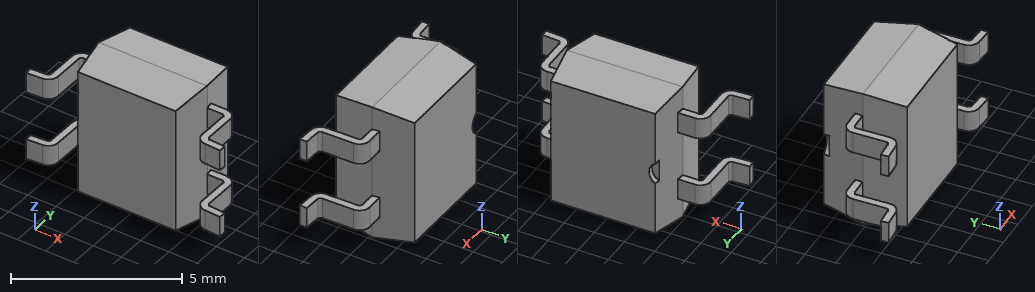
import cadquery as cq
import math

overall_length = 6.9
overall_depth = 2.9

housing_width = 3.85
housing_height = 4.7
housing_depth = 2.7
taper_inset = 0.19

notch_radius = 0.4
notch_depth = 0.19

lead_thickness = 0.25
lead_width = 0.71
lead_pitch = 2.395
foot_reach = 0.65
foot_angle = 3.5
inner_bend_radius = 0.1

half_depth = housing_depth / 2
outer_bend_radius = inner_bend_radius + lead_thickness


def make_housing_half(side):
    """Tapered block from the parting plane to the face at side * half_depth."""
    face_width = housing_width - 2 * taper_inset
    face_height = housing_height - 2 * taper_inset
    return (
        cq.Workplane("XZ")
        .rect(housing_width, housing_height)
        .workplane(offset=-side * half_depth)
        .rect(face_width, face_height)
        .loft(ruled=True)
    )


def make_housing():
    """Both tapered halves joined, with the index notch removed."""
    notch = (
        cq.Workplane("XZ", origin=(-housing_width / 2, half_depth, 0))
        .circle(notch_radius)
        .extrude(notch_depth)
    )
    return make_housing_half(-1).union(make_housing_half(1)).cut(notch)


def make_left_lead(housing):
    """Lead on the -X side centred on Z = 0, ending flush on the housing side."""
    angle = math.radians(foot_angle)
    tip_x = -overall_length / 2
    tip_bottom_x = tip_x + lead_thickness * math.sin(angle)
    tip_bottom_y = half_depth - overall_depth
    tip_top_y = tip_bottom_y + lead_thickness * math.cos(angle)
    upright_outer_x = tip_x + foot_reach
    upright_inner_x = upright_outer_x + lead_thickness
    heel_top_y = tip_top_y + foot_reach * math.tan(angle)
    heel_bottom_y = tip_bottom_y + (upright_inner_x - tip_bottom_x) * math.tan(angle)
    inside_housing_x = -(housing_width / 2 - taper_inset)

    strip = (
        cq.Workplane("XY", origin=(0, 0, -lead_width / 2))
        .moveTo(tip_x, tip_top_y)
        .lineTo(upright_outer_x, heel_top_y)
        .lineTo(upright_outer_x, lead_thickness)
        .lineTo(inside_housing_x, lead_thickness)
        .lineTo(inside_housing_x, 0)
        .lineTo(upright_inner_x, 0)
        .lineTo(upright_inner_x, heel_bottom_y)
        .lineTo(tip_bottom_x, tip_bottom_y)
        .close()
        .extrude(lead_width)
    )
    inner_corners = [(upright_outer_x, heel_top_y), (upright_inner_x, 0)]
    outer_corners = [(upright_outer_x, lead_thickness), (upright_inner_x, heel_bottom_y)]
    for corners, radius in ((inner_corners, inner_bend_radius), (outer_corners, outer_bend_radius)):
        for x, y in corners:
            strip = strip.edges(cq.NearestToPointSelector((x, y, 0))).fillet(radius)
    return strip.cut(housing)


housing = make_housing()
left_lead = make_left_lead(housing)
right_lead = left_lead.mirror("YZ")

leads = []
for lead in (left_lead, right_lead):
    for z in (-lead_pitch / 2, lead_pitch / 2):
        leads.append(lead.translate((0, 0, z)).solids().val())

result = cq.Compound.makeCompound([housing.solids().val(), *leads])